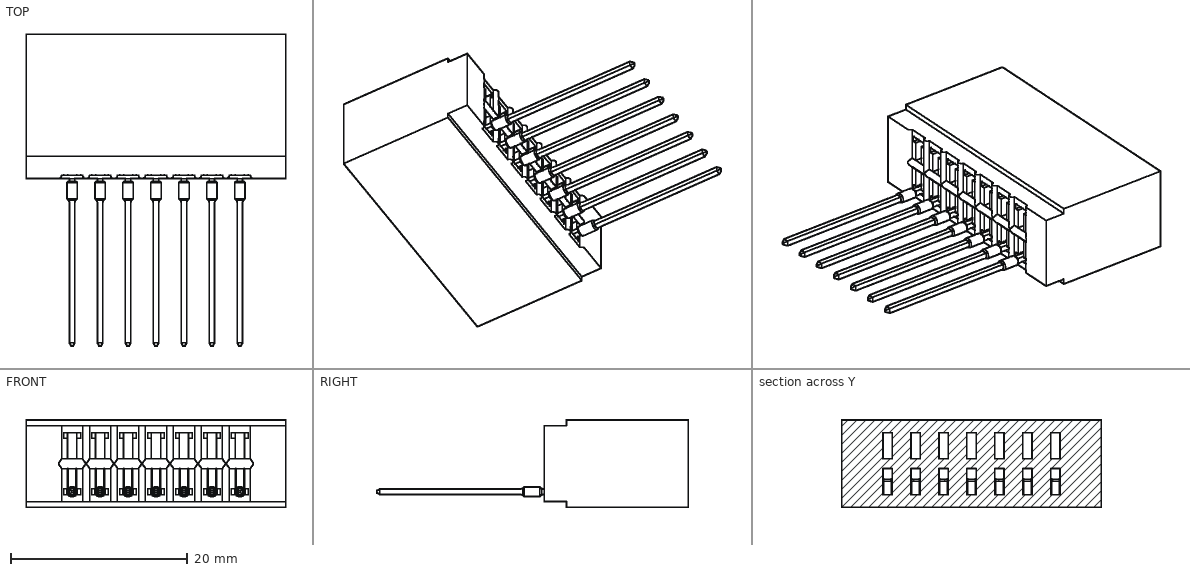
import cadquery as cq

housing_width = 29.47
housing_height = 9.9
overall_length = 35.42
housing_depth = 16.4
shoulder_depth = 2.55
shoulder_step = 0.65
shoulder_height = housing_height - 2 * shoulder_step

contact_count = 7
contact_span = 19.05
pitch = contact_span / (contact_count - 1)
contact_xs = [-contact_span / 2 + i * pitch for i in range(contact_count)]
row_offset = 3.2

recess_depth = 0.4
recess_width = contact_count * pitch
divider_half_width = 0.4
bar_half_height = 0.55

slot_width = 1.03
notch_width = 1.9
notch_depth = 1.4

post_side = 0.65
collar_width = 1.2
collar_height = 1.1
collar_rounding = 0.53
collar_chamfer = 0.18
collar_start = 0.3
collar_length = 2.15
neck_side = 0.78
neck_length = 0.25
tip_length = 0.4
tip_side = 0.25
plate_thickness = 0.7
leaf_width = 0.9
leaf_thickness = 0.53
leaf_run = 4.95

slot_inner = bar_half_height
slot_outer = row_offset + post_side / 2
slot_height = slot_outer - slot_inner
slot_middle = (slot_outer + slot_inner) / 2
notch_bottom = recess_depth + notch_depth
post_tip = housing_depth - overall_length


def block(width, height, y_start, y_end, x=0.0, z=0.0):
    """Box centred on (x, z) that reaches from y_start to y_end."""
    depth = y_end - y_start
    return cq.Workplane("XY").box(width, depth, height).translate((x, y_start + depth / 2, z))


def divider(x):
    """Upright rib between two cells, its crest level with the front face."""
    outline = (
        cq.Workplane("XY")
        .moveTo(x - divider_half_width, recess_depth)
        .threePointArc((x, 0), (x + divider_half_width, recess_depth))
        .close()
    )
    return outline.extrude(shoulder_height / 2, both=True)


def middle_bar():
    """Horizontal rib between the upper and the lower row, as deep as the dividers."""
    outline = (
        cq.Workplane("YZ")
        .moveTo(recess_depth, -bar_half_height)
        .threePointArc((0, 0), (recess_depth, bar_half_height))
        .close()
    )
    return outline.extrude(recess_width / 2, both=True)


def opening(x, side):
    """Through slot with a shallow cross notch at its outer end; side is +1 above, -1 below."""
    slot = block(slot_width, slot_height, 0, housing_depth, x, side * slot_middle)
    notch = block(notch_width, post_side, 0, notch_bottom, x, side * row_offset)
    return slot.union(notch)


def make_housing():
    body = block(housing_width, housing_height, shoulder_depth, housing_depth)
    body = body.union(block(housing_width, shoulder_height, 0, shoulder_depth))
    body = body.cut(block(recess_width, shoulder_height, 0, recess_depth))
    for i in range(contact_count + 1):
        body = body.union(divider(-recess_width / 2 + i * pitch))
    body = body.union(middle_bar())
    for x in contact_xs:
        for side in (1, -1):
            body = body.cut(opening(x, side))
    return body


def collar():
    """Collar with strongly rounded long edges and chamfered ends."""
    outer_end = -collar_start - collar_length
    return (
        block(collar_width, collar_height, outer_end, -collar_start)
        .edges("|Y")
        .fillet(collar_rounding)
        .faces("<Y or >Y")
        .chamfer(collar_chamfer)
    )


def square_taper(y_start, length, start_side, end_side):
    """Square frustum along the contact axis, running from y_start towards -Y."""
    return (
        cq.Workplane("XZ", origin=(0, y_start, 0))
        .rect(start_side, start_side)
        .workplane(offset=length)
        .rect(end_side, end_side)
        .loft()
    )


def post():
    """Square tail that leaves the collar through a tapered neck and ends in a blunt pyramid."""
    neck_start = -collar_start - collar_length
    tip_start = post_tip + tip_length
    neck = square_taper(neck_start, neck_length, neck_side, post_side)
    shaft = block(post_side, post_side, tip_start, neck_start)
    tip = square_taper(tip_start, tip_length, post_side, tip_side)
    return shaft.union(neck).union(tip)


def leaf():
    """Spring leaf sloping up from the retaining plate to the slot roof."""
    bottom = -post_side / 2
    rise = slot_height
    root = notch_bottom - leaf_thickness
    outline = (
        cq.Workplane("YZ")
        .moveTo(root, bottom)
        .lineTo(notch_bottom, bottom)
        .lineTo(notch_bottom + leaf_run, bottom + rise)
        .lineTo(root + leaf_run, bottom + rise)
        .close()
    )
    return outline.extrude(leaf_width / 2, both=True)


def make_contact(x):
    contact = block(post_side, post_side, -collar_start, notch_bottom)
    contact = contact.union(block(notch_width, post_side, notch_bottom - plate_thickness, notch_bottom))
    contact = contact.union(leaf())
    contact = contact.union(collar())
    contact = contact.union(post())
    return contact.translate((x, 0, -row_offset))


housing = make_housing()
contacts = [make_contact(x) for x in contact_xs]

result = cq.Compound.makeCompound([housing.val(), *[contact.val() for contact in contacts]])